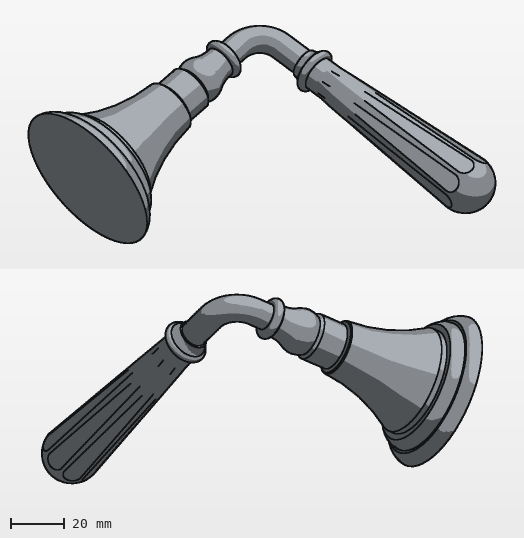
import cadquery as cq
import math

base_diameter = 59.9
base_radius = base_diameter / 2
overall_length = 145.7

ring_top = 4.8
ring_crown_radius = 26.5
ring_bulge_radius, ring_bulge_height = 28.7, 2.9
second_ring_radius = 25.5
second_ring_top = 9.6
second_ring_crown_radius = 23.0
second_ring_bulge_radius, second_ring_bulge_height = 24.6, 8.0
band_radius = 20.7
band_top = 12.0

bell_mid_radius, bell_mid_height = 15.6, 22.3
bell_top_radius = 10.6
bell_top = 45.5
bell_chamfer = 0.5

gap_radius = 6.5
sleeve_bottom = 46.2
sleeve_radius = 9.0
sleeve_top = 57.5
sleeve_chamfer = 1.2
bulb_radius, bulb_height = 8.9, 61.5
bulb_end_radius, bulb_end_height = 8.2, 64.5
neck_mid_radius, neck_mid_height = 6.7, 68.0
neck_radius, neck_start = 6.3, 71.7
post_bead_bottom = 72.7
post_bead_radius = 8.0
post_bead_width = 3.6

tube_radius = 5.1
bend_radius = 11.5
lever_height = 93.3

flare_start, flare_start_radius = 23.3, 5.8
flare_mid, flare_mid_radius = 25.5, 6.4
lever_bead_start, lever_bead_end = 27.0, 30.2
lever_bead_radius = 8.7
flare_end_radius = 7.5
grip_start = 34.4
grip_start_radius = 6.7
tip_radius = 11.2
grip_end = overall_length - base_radius - tip_radius

flat_count = 8
flat_end_distance = 10.6


def make_post():
    """Revolve the base, bell, sleeve, bulb and bead about the Y axis."""
    bead_round = post_bead_width / 2
    bead_top = post_bead_bottom + post_bead_width
    profile = (
        cq.Workplane("XY")
        .lineTo(base_radius, 0)
        .threePointArc((ring_bulge_radius, ring_bulge_height), (ring_crown_radius, ring_top))
        .lineTo(second_ring_radius, ring_top)
        .threePointArc(
            (second_ring_bulge_radius, second_ring_bulge_height),
            (second_ring_crown_radius, second_ring_top),
        )
        .lineTo(band_radius, second_ring_top)
        .lineTo(band_radius, band_top)
        .threePointArc((bell_mid_radius, bell_mid_height), (bell_top_radius, bell_top - bell_chamfer))
        .lineTo(bell_top_radius - bell_chamfer, bell_top)
        .lineTo(gap_radius, bell_top)
        .lineTo(gap_radius, sleeve_bottom)
        .lineTo(sleeve_radius, sleeve_bottom)
        .lineTo(sleeve_radius, sleeve_top - sleeve_chamfer)
        .lineTo(sleeve_radius - sleeve_chamfer, sleeve_top)
        .threePointArc((bulb_radius, bulb_height), (bulb_end_radius, bulb_end_height))
        .threePointArc((neck_mid_radius, neck_mid_height), (neck_radius, neck_start))
        .lineTo(neck_radius, post_bead_bottom)
        .lineTo(post_bead_radius - bead_round, post_bead_bottom)
        .threePointArc(
            (post_bead_radius, post_bead_bottom + bead_round),
            (post_bead_radius - bead_round, bead_top),
        )
        .lineTo(0, bead_top)
        .close()
    )
    return profile.revolve(360, (0, 0, 0), (0, 1, 0))


def make_tube():
    """Sweep the round tube from inside the post bead to inside the lever bead."""
    start_height = post_bead_bottom
    bend_start = lever_height - bend_radius
    bend_offset = bend_radius * (1 - math.sqrt(0.5))
    path = (
        cq.Workplane("XY")
        .moveTo(0, start_height)
        .lineTo(0, bend_start)
        .threePointArc((bend_offset, lever_height - bend_offset), (bend_radius, lever_height))
        .lineTo(lever_bead_start, lever_height)
    )
    section = cq.Workplane("XZ", origin=(0, start_height, 0)).circle(tube_radius)
    return section.sweep(path)


def make_lever():
    """Revolve the flare, bead, collar, tapered grip and round tip about X."""
    bead_round = (lever_bead_end - lever_bead_start) / 2
    tip_diagonal = tip_radius * math.sqrt(0.5)
    profile = (
        cq.Workplane("XY")
        .moveTo(flare_start, 0)
        .lineTo(flare_start, flare_start_radius)
        .threePointArc((flare_mid, flare_mid_radius), (lever_bead_start, flare_end_radius))
        .threePointArc(
            (lever_bead_start + bead_round, lever_bead_radius),
            (lever_bead_end, flare_end_radius),
        )
        .lineTo(lever_bead_end, grip_start_radius)
        .lineTo(grip_start, grip_start_radius)
        .lineTo(grip_end, tip_radius)
        .threePointArc((grip_end + tip_diagonal, tip_diagonal), (grip_end + tip_radius, 0))
        .close()
    )
    return profile.revolve(360, (0, 0, 0), (1, 0, 0))


def cut_flats(lever):
    """Shave sloping flats that widen from the collar to the tip."""
    cut_end = grip_end + tip_radius
    slope = (flat_end_distance - grip_start_radius) / (grip_end - grip_start)
    cut_end_distance = grip_start_radius + slope * (cut_end - grip_start)
    outside = 2 * tip_radius
    cutter = (
        cq.Workplane("XY")
        .moveTo(grip_start, grip_start_radius)
        .lineTo(cut_end, cut_end_distance)
        .lineTo(cut_end, outside)
        .lineTo(grip_start, outside)
        .close()
        .extrude(tip_radius, both=True)
    )
    for index in range(flat_count):
        angle = index * 360 / flat_count
        lever = lever.cut(cutter.rotate((0, 0, 0), (1, 0, 0), angle))
    return lever


lever = cut_flats(make_lever()).translate((0, lever_height, 0))
result = make_post().union(make_tube()).union(lever)